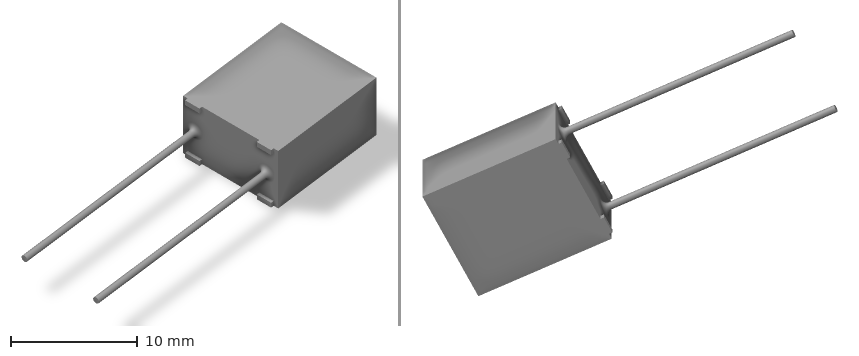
import cadquery as cq

total_length = 32.0
body_width = 10.0
body_height = 6.0
lead_length = 20.0
foot_length = 0.3

lead_diameter = 0.6
lead_pitch = 7.52
collar_radius = 0.5

foot_width = 1.5
foot_height = 0.5

body_length = total_length - lead_length - foot_length
lead_face_y = -body_length / 2
lead_end_y = lead_face_y - foot_length - lead_length
lead_radius = lead_diameter / 2
side_positions = (-lead_pitch / 2, lead_pitch / 2)


def make_body():
    return cq.Workplane("XY").box(body_width, body_length, body_height)


def make_foot(x, side):
    """Foot flush with the top (side = 1) or bottom (side = -1) of the body."""
    z = side * (body_height - foot_height) / 2
    y = lead_face_y - foot_length / 2
    return cq.Workplane("XY").box(foot_width, foot_length, foot_height).translate((x, y, z))


def make_lead(x):
    """Round lead and its concave collar, revolved about the lead axis."""
    collar_end_y = lead_face_y - collar_radius
    blend_centre = (lead_radius + collar_radius, collar_end_y)
    diagonal = collar_radius / 2 ** 0.5
    blend_middle = (blend_centre[0] - diagonal, blend_centre[1] + diagonal)
    profile = (
        cq.Workplane("XY")
        .moveTo(0, lead_end_y)
        .lineTo(lead_radius, lead_end_y)
        .lineTo(lead_radius, collar_end_y)
        .threePointArc(blend_middle, (lead_radius + collar_radius, lead_face_y))
        .lineTo(0, lead_face_y)
        .close()
    )
    return profile.revolve(360, (0, 0, 0), (0, 1, 0)).translate((x, 0, 0))


result = make_body()
for side_x in side_positions:
    result = result.union(make_lead(side_x))
    for foot_side in (-1, 1):
        result = result.union(make_foot(side_x, foot_side))